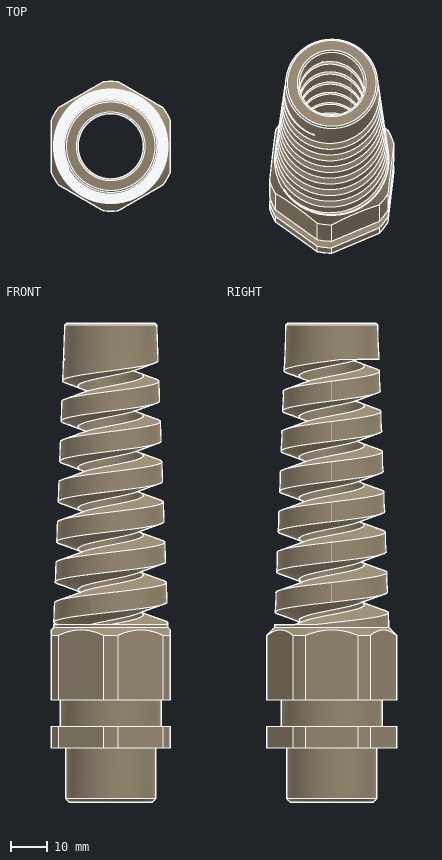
import cadquery as cq
import math

thread_diameter = 25.0
thread_length = 15.0
thread_chamfer = 1.0

across_flats = 33.0
across_trimmed_corners = 36.0
flange_height = 6.0
neck_diameter = 28.0
neck_height = 7.25
nut_height = 20.1

total_height = 132.5
base_radius = 15.85
tip_radius = 12.75
collar_height = 0.8
cap_height = 10.0
rim_chamfer = 0.5
bore_diameter = 18.0

pitch = 11.13
gap_width = 5.7
flank_slope = 0.33
outer_overlap = 1.0
bore_overlap = 0.4
coil_reference_height = 113.7

flange_top = thread_length + flange_height
nut_bottom = flange_top + neck_height
nut_top = nut_bottom + nut_height
coil_bottom = nut_top + collar_height
coil_top = total_height - cap_height
taper = (base_radius - tip_radius) / (total_height - nut_top)


def cone_radius(height):
    """Outer radius of the tapered sleeve at a height above the base."""
    return tip_radius + taper * (total_height - height)


def cylinder(diameter, bottom, top):
    return cq.Workplane("XY").workplane(offset=bottom).circle(diameter / 2).extrude(top - bottom)


def trimmed_hexagon(bottom, top):
    """Hexagonal prism with flats on the X sides and its corners turned to a round."""
    hexagon = (
        cq.Workplane("XY")
        .workplane(offset=bottom)
        .polygon(6, across_flats, circumscribed=True)
        .extrude(top - bottom)
    )
    return hexagon.intersect(cylinder(across_trimmed_corners, bottom, top))


def make_base():
    thread = cylinder(thread_diameter, 0, thread_length).faces("<Z").chamfer(thread_chamfer)
    flange = trimmed_hexagon(thread_length, flange_top)
    neck = cylinder(neck_diameter, flange_top, nut_bottom)
    return thread.union(flange).union(neck)


def make_nut():
    """Hexagonal nut whose top corners are turned down at 45 degrees to the collar."""
    corner_radius = across_trimmed_corners / 2
    envelope = (
        cylinder(across_trimmed_corners, nut_bottom, nut_top)
        .faces(">Z")
        .chamfer(corner_radius - base_radius)
    )
    return trimmed_hexagon(nut_bottom, nut_top).intersect(envelope)


def tapered_section(bottom, top):
    return (
        cq.Workplane("XZ")
        .moveTo(0, bottom)
        .lineTo(cone_radius(bottom), bottom)
        .lineTo(cone_radius(top), top)
        .lineTo(0, top)
        .close()
        .revolve(360, (0, 0, 0), (0, 1, 0))
    )


def make_coil():
    """Wedge-shaped coil swept along a conical helix and trimmed flat at both ends."""
    turns_below = math.ceil((coil_reference_height - coil_bottom) / pitch) + 1
    turns_above = math.ceil((coil_top - coil_reference_height) / pitch) + 1
    start = coil_reference_height - turns_below * pitch
    start_radius = cone_radius(start)

    depth = base_radius - bore_diameter / 2 + bore_overlap
    surface_half = (pitch - gap_width) / 2
    inner_half = surface_half + flank_slope * depth
    outer_half = surface_half - flank_slope * outer_overlap

    taper_angle = math.atan(taper)
    slant_pitch = pitch / math.cos(taper_angle)
    helix = cq.Wire.makeHelix(
        slant_pitch,
        (turns_below + turns_above) * slant_pitch,
        start_radius,
        angle=-math.degrees(taper_angle),
    )
    profile = (
        cq.Workplane("XZ")
        .moveTo(start_radius - depth, -inner_half)
        .lineTo(start_radius + outer_overlap, -outer_half)
        .lineTo(start_radius + outer_overlap, outer_half)
        .lineTo(start_radius - depth, inner_half)
        .close()
    )
    coil = profile.sweep(cq.Workplane(helix), isFrenet=True).translate((0, 0, start))
    coil = coil.intersect(cylinder(across_trimmed_corners, coil_bottom, coil_top))
    return coil.intersect(tapered_section(coil_bottom - pitch, coil_top + pitch))


def make_sleeve():
    collar = tapered_section(nut_top, coil_bottom)
    cap = tapered_section(coil_top, total_height).faces(">Z").chamfer(rim_chamfer)
    return collar.union(make_coil()).union(cap)


def make_bore():
    """Through bore with a bevelled mouth at the tip."""
    bore = cylinder(bore_diameter, 0, total_height)
    bore_radius = bore_diameter / 2
    mouth = cq.Workplane("XY").add(
        cq.Solid.makeCone(
            bore_radius,
            bore_radius + rim_chamfer,
            rim_chamfer,
            pnt=cq.Vector(0, 0, total_height - rim_chamfer),
        )
    )
    return bore.union(mouth)


result = make_base().union(make_nut()).union(make_sleeve()).cut(make_bore())